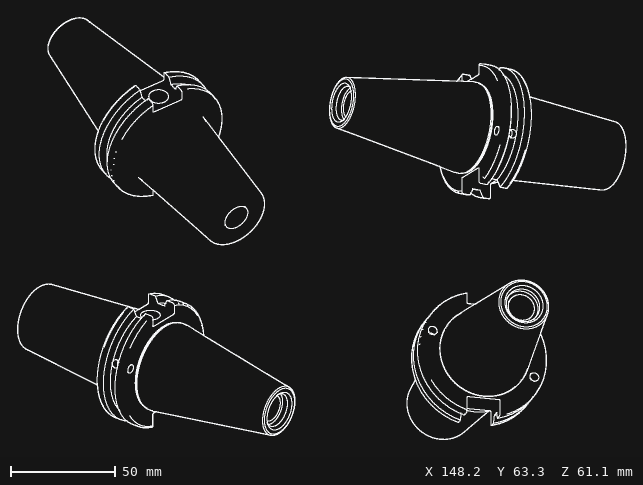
import cadquery as cq
import math

LENGTH = 148.2

TAPER_TIP_DIA = 24.9
TAPER_LARGE_DIA = 44.5
TAPER_END_X = 67.9
TIP_CHAMFER_X = 0.5
TIP_CHAMFER_R = 0.9
COLLAR_END_X = 69.8
RELIEF_DIA = 43.6
RELIEF_START_X = 70.7

FLANGE_X = 71.2
FLANGE_WIDTH = 16.0
FLANGE_END_X = FLANGE_X + FLANGE_WIDTH
FLANGE_DIA = 63.3
FLANGE_EDGE_FILLET = 1.0
GROOVE_DIA = 56.6
GROOVE_FLOOR_START_X = 77.4
GROOVE_FLOOR_END_X = 81.2
GROOVE_SIDE_WIDTH = 1.6
GROOVE_CENTRE_X = (GROOVE_FLOOR_START_X + GROOVE_FLOOR_END_X) / 2

NECK_DIA = 42.4
NECK_FILLET = 2.8
NECK_END_X = 90.6
NOSE_DIA = 33.4
NOSE_FILLET = 1.5

BORE_DIA = 13.0
COUNTERBORE_DIA = 16.6
COUNTERBORE_DEPTH = 4.7
BORE_MOUTH_DIA = 19.0
BORE_MOUTH_DEPTH = 1.8

SLOT_WIDTH = 16.5
UPPER_SLOT_Z = 24.9
LOWER_SLOT_Z = -22.7
SLOT_FILLET = 0.6

DIMPLE_DIA = 9.5
DIMPLE_CONE_ANGLE = 120.0
DIMPLE_DEPTH = DIMPLE_DIA / 2 / math.tan(math.radians(DIMPLE_CONE_ANGLE / 2))

COOLANT_FACE_DIA = 4.2
COOLANT_GROOVE_DIA = 4.0
COOLANT_FACE_RADIUS = 27.0
COOLANT_TILT = 20.0
COOLANT_ANGLES = (20.2, 200.2)

CUT_MARGIN = 3.0

EDGE_TOLERANCE = 0.1


def make_body():
    """Revolve the outside profile, then round the flange and nose edges."""
    flange_r = FLANGE_DIA / 2
    neck_r = NECK_DIA / 2
    arc_drop = NECK_FILLET * (1 - math.sqrt(0.5))
    profile = (
        cq.Workplane("XY")
        .moveTo(0, 0)
        .lineTo(0, TAPER_TIP_DIA / 2 - TIP_CHAMFER_R)
        .lineTo(TIP_CHAMFER_X, TAPER_TIP_DIA / 2)
        .lineTo(TAPER_END_X, TAPER_LARGE_DIA / 2)
        .lineTo(COLLAR_END_X, TAPER_LARGE_DIA / 2)
        .lineTo(RELIEF_START_X, RELIEF_DIA / 2)
        .lineTo(FLANGE_X, RELIEF_DIA / 2)
        .lineTo(FLANGE_X, flange_r)
        .lineTo(GROOVE_FLOOR_START_X - GROOVE_SIDE_WIDTH, flange_r)
        .lineTo(GROOVE_FLOOR_START_X, GROOVE_DIA / 2)
        .lineTo(GROOVE_FLOOR_END_X, GROOVE_DIA / 2)
        .lineTo(GROOVE_FLOOR_END_X + GROOVE_SIDE_WIDTH, flange_r)
        .lineTo(FLANGE_END_X, flange_r)
        .lineTo(FLANGE_END_X, neck_r + NECK_FILLET)
        .threePointArc(
            (FLANGE_END_X + arc_drop, neck_r + arc_drop),
            (FLANGE_END_X + NECK_FILLET, neck_r),
        )
        .lineTo(NECK_END_X, neck_r)
        .lineTo(LENGTH, NOSE_DIA / 2)
        .lineTo(LENGTH, 0)
        .close()
    )
    body = profile.revolve(360, (0, 0, 0), (1, 0, 0))
    for face_x in (FLANGE_X, FLANGE_END_X):
        body = body.edges(ring_at(face_x, FLANGE_DIA)).fillet(FLANGE_EDGE_FILLET)
    return body.edges(ring_at(LENGTH, NOSE_DIA)).fillet(NOSE_FILLET)


def ring_at(x, diameter):
    """Select the edge lying on a circle about the part axis."""
    reach = diameter / 2 + EDGE_TOLERANCE
    inner_reach = diameter / 2 - EDGE_TOLERANCE
    start_x = x - EDGE_TOLERANCE
    end_x = x + EDGE_TOLERANCE
    outer = cq.selectors.BoxSelector(
        (start_x, -reach, -reach),
        (end_x, reach, reach),
        boundingbox=True,
    )
    inner = cq.selectors.BoxSelector(
        (start_x, -inner_reach, -inner_reach),
        (end_x, inner_reach, inner_reach),
        boundingbox=True,
    )
    return outer - inner


def make_bore():
    """Through bore with a counterbore and conical mouth at the taper end."""
    profile = [
        (0, 0),
        (0, BORE_MOUTH_DIA / 2),
        (BORE_MOUTH_DEPTH, COUNTERBORE_DIA / 2),
        (COUNTERBORE_DEPTH, COUNTERBORE_DIA / 2),
        (COUNTERBORE_DEPTH, BORE_DIA / 2),
        (LENGTH, BORE_DIA / 2),
        (LENGTH, 0),
    ]
    return cq.Workplane("XY").polyline(profile).close().revolve(360, (0, 0, 0), (1, 0, 0))


def make_slot(floor_z):
    """Flat-bottomed drive slot, open away from the axis."""
    side = math.copysign(1, floor_z)
    depth = FLANGE_DIA / 2 + CUT_MARGIN - abs(floor_z)
    slot = cq.Workplane("XY").box(FLANGE_WIDTH, SLOT_WIDTH, depth)
    floor_edges = slot.faces("<Z" if side > 0 else ">Z").edges("|X")
    slot = floor_edges.fillet(SLOT_FILLET)
    return slot.translate((FLANGE_X + FLANGE_WIDTH / 2, 0, floor_z + side * depth / 2))


def make_dimple():
    """Cone pointing down from the upper slot floor."""
    cone = cq.Solid.makeCone(
        DIMPLE_DIA / 2,
        0,
        DIMPLE_DEPTH,
        cq.Vector(GROOVE_CENTRE_X, 0, UPPER_SLOT_Z),
        cq.Vector(0, 0, -1),
    )
    return cq.Workplane(obj=cone)


def make_coolant_passage(angle):
    """Inclined hole from the flange face meeting a radial hole from the groove."""
    tilt = math.radians(COOLANT_TILT)
    meeting_radius = COOLANT_FACE_RADIUS - (GROOVE_CENTRE_X - FLANGE_X) * math.tan(tilt)
    run = (GROOVE_CENTRE_X - FLANGE_X) / math.cos(tilt)
    direction = cq.Vector(math.cos(tilt), -math.sin(tilt), 0)
    start = cq.Vector(FLANGE_X, COOLANT_FACE_RADIUS, 0) - direction * CUT_MARGIN
    inclined = cq.Solid.makeCylinder(COOLANT_FACE_DIA / 2, run + CUT_MARGIN, start, direction)
    radial = cq.Solid.makeCylinder(
        COOLANT_GROOVE_DIA / 2,
        GROOVE_DIA / 2 + CUT_MARGIN - meeting_radius,
        cq.Vector(GROOVE_CENTRE_X, meeting_radius, 0),
        cq.Vector(0, 1, 0),
    )
    passage = cq.Workplane(obj=inclined.fuse(radial))
    return passage.rotate((0, 0, 0), (1, 0, 0), angle)


result = make_body().cut(make_bore())
for slot_z in (UPPER_SLOT_Z, LOWER_SLOT_Z):
    result = result.cut(make_slot(slot_z))
result = result.cut(make_dimple())
for passage_angle in COOLANT_ANGLES:
    result = result.cut(make_coolant_passage(passage_angle))